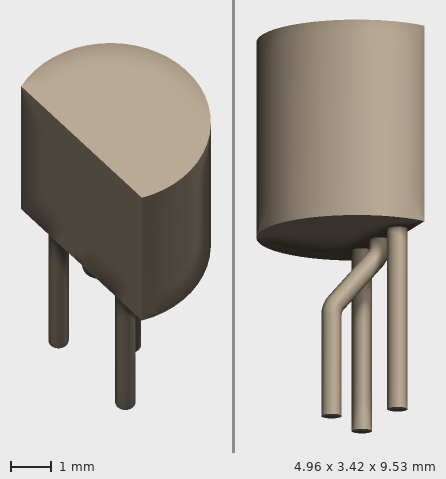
import cadquery as cq
import math

total_height = 9.53
housing_height = 4.96
housing_radius = 2.48
flat_y = -0.94

lead_diameter = 0.505
lead_pitch = 1.27
lead_inset = 0.09
bend_angle = 41.0
bend_radius = 0.505
lower_bend_start = 2.55

lead_length = total_height - housing_height
lead_radius = lead_diameter / 2
lead_row_y = flat_y + lead_inset + lead_radius
middle_foot_y = lead_row_y + lead_pitch


def make_housing():
    """Cylinder with a flat cut along its -Y side."""
    flat_half_width = math.sqrt(housing_radius**2 - flat_y**2)
    return (
        cq.Workplane("XY", origin=(0, 0, lead_length))
        .moveTo(-flat_half_width, flat_y)
        .threePointArc((0, housing_radius), (flat_half_width, flat_y))
        .close()
        .extrude(housing_height)
    )


def make_straight_lead(x):
    """Plain round lead at the given X."""
    return cq.Workplane("XY", origin=(x, lead_row_y, 0)).circle(lead_radius).extrude(lead_length)


def make_middle_lead():
    """Round lead swept along a path offset toward +Y by two opposite bends."""
    angle = math.radians(bend_angle)
    bend_shift = bend_radius * (1 - math.cos(angle))
    bend_rise = bend_radius * math.sin(angle)
    slope_shift = lead_pitch - 2 * bend_shift
    slope_rise = slope_shift / math.tan(angle)
    upper_bend_end = lower_bend_start + 2 * bend_rise + slope_rise

    half_bend_shift = bend_radius * (1 - math.cos(angle / 2))
    half_bend_rise = bend_radius * math.sin(angle / 2)

    path = (
        cq.Workplane("YZ")
        .moveTo(middle_foot_y, 0)
        .lineTo(middle_foot_y, lower_bend_start)
        .threePointArc(
            (middle_foot_y - half_bend_shift, lower_bend_start + half_bend_rise),
            (middle_foot_y - bend_shift, lower_bend_start + bend_rise),
        )
        .lineTo(lead_row_y + bend_shift, upper_bend_end - bend_rise)
        .threePointArc(
            (lead_row_y + half_bend_shift, upper_bend_end - half_bend_rise),
            (lead_row_y, upper_bend_end),
        )
        .lineTo(lead_row_y, lead_length)
    )
    return cq.Workplane("XY", origin=(0, middle_foot_y, 0)).circle(lead_radius).sweep(path)


housing = make_housing()
outer_leads = [make_straight_lead(x) for x in (-lead_pitch, lead_pitch)]
middle_lead = make_middle_lead()

result = cq.Compound.makeCompound(
    [housing.val(), middle_lead.val(), *[lead.val() for lead in outer_leads]]
)